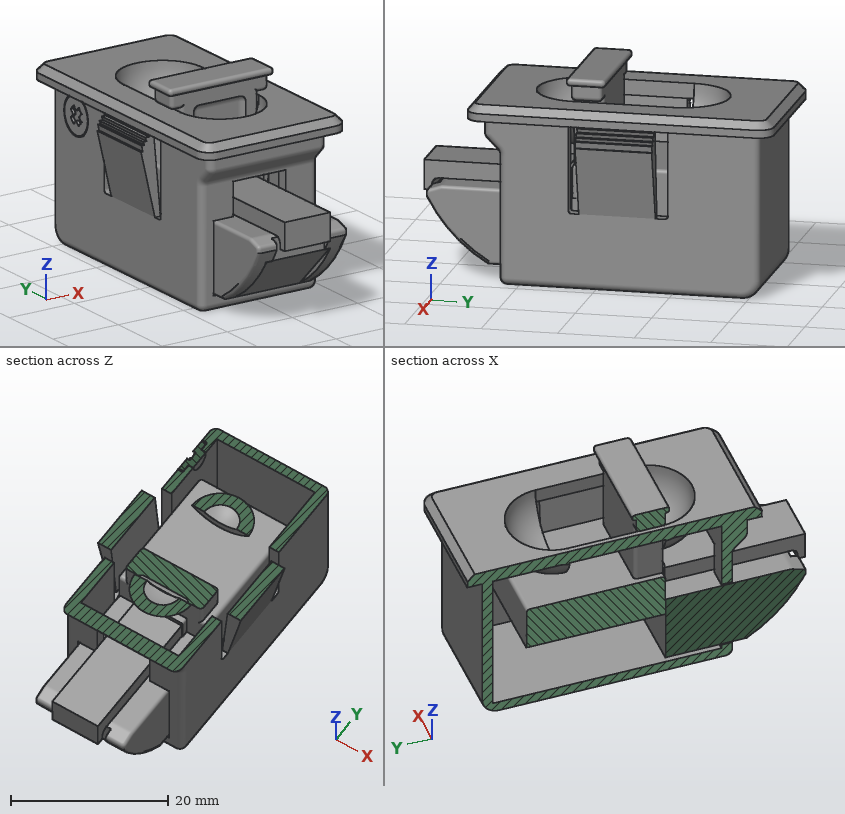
import cadquery as cq


overall_length = 47.0
tiny_overlap = 0.25

flange_width = 22.0
flange_length = 40.0
flange_thickness = 2.0
flange_chamfer = 1.0
flange_corner_radius = 2.0

body_width = 18.0
body_bottom = -24.0
body_back = 18.0
body_front_upper = -18.0
body_front = -16.0
step_top = -4.5
step_bottom = step_top - (body_front - body_front_upper)
edge_radius = 1.0
back_bottom_radius = 2.4
wall = 1.5

dish_radius = 6.0
dish_shell = 1.0
opening_back = 6.1
opening_front = -6.9

window_bottom = -14.0
window_corner_radius = 0.45
clip_length = 10.0
clip_middle = -0.5
clip_teeth = [(10.05, -2.45), (10.5, -2.95), (10.8, -3.5), (11.05, -3.95), (11.15, -4.8)]
clip_tooth_depth = 0.2
clip_root_inner = 8.15
clip_top_inner = 9.2

latch_opening_width = 14.0
latch_opening_top = -11.85
latch_opening_bottom = -21.95
slot_width = 8.05
slot_top = -7.1

screw_y = 12.55
screw_z = -5.5
screw_head_radius = 2.65
screw_head_gap = 0.15
screw_head_thickness = 0.7
screw_shank_radius = 1.4
recess_span = 2.55
recess_arm_width = 0.95
recess_depth = 0.4

latch_width = 13.72
latch_tip = -26.0
latch_top = -11.95
latch_slope_start = -24.0
latch_tip_top = -12.6
latch_tip_bottom = -13.45
latch_curve_middle = (-22.85, -18.0)
latch_curve_end = -17.9
latch_edge_radius = 0.45
latch_slope_radius = 1.3
latch_tip_radius = 0.5
notch_base = -24.8
ramp_width = 9.78
ramp_top = -15.28

grip_width = 16.05
grip_length = 5.08
grip_thickness = 1.0
grip_corner_radius = 0.5
grip_rim_radius = 0.45
grip_top = 3.5
head_width = 14.85
head_bottom = 0.45
stem_width = 11.8
stem_length = 4.0
slider_edge_radius = 0.5
head_corner_radius = 0.55
thumb_width = 8.2
thumb_top = 0.5
thumb_bottom = -5.9
thumb_depth = 0.5
thumb_corner_radius = 1.0
thumb_floor_radius = 0.95
base_width = 14.0
base_top = -8.1
base_bottom = -12.5
foot_bottom = -14.55
base_back = 12.0
bolt_width = 7.0
bolt_top = -9.55
bolt_bottom = -13.45
bolt_inner_radius = 1.0
bolt_root_width = 7.3
bolt_root_top = -9.02
bolt_root_length = 1.0
bolt_root_radius = 0.3

bolt_tip = flange_length / 2 - overall_length


def block(width, y_start, y_end, z_bottom, z_top):
    """Box centred on X = 0, from y_start to y_end and z_bottom to z_top."""
    return cq.Workplane("XY").box(width, y_end - y_start, z_top - z_bottom).translate(
        (0, (y_start + y_end) / 2, (z_bottom + z_top) / 2)
    )


def side_profile(points, width):
    """Closed (Y, Z) polyline extruded symmetrically along X."""
    return cq.Workplane("YZ").polyline(points).close().extrude(width / 2, both=True)


def make_flange():
    """Rounded plate with a chamfered top rim."""
    return (
        block(flange_width, -flange_length / 2, flange_length / 2, -flange_thickness, 0)
        .edges("|Z").fillet(flange_corner_radius)
        .faces(">Z").chamfer(flange_chamfer)
    )


def make_housing_body():
    """Solid box with a set-back front below a sloped step and all its outer edges rounded."""
    outline = [
        (body_back, -flange_thickness),
        (body_back, body_bottom),
        (body_front, body_bottom),
        (body_front, step_bottom),
        (body_front_upper, step_top),
        (body_front_upper, -flange_thickness),
    ]
    body = side_profile(outline, body_width)
    body = body.edges("|X and <Z and >Y").fillet(back_bottom_radius)
    body = body.edges("|X and <Y").edges("<Z").fillet(edge_radius)
    body = body.edges(
        cq.selectors.BoxSelector(
            (-body_width, body_front - tiny_overlap, body_bottom - tiny_overlap),
            (body_width, body_front + tiny_overlap, step_bottom + tiny_overlap),
        )
    ).edges("|X").fillet(edge_radius)
    return body.faces("<X or >X").edges("not >Z").fillet(edge_radius)


def make_cavity():
    return block(
        body_width - 2 * wall, body_front + wall, body_back - wall, body_bottom + wall, -flange_thickness
    )


def make_dishes(radius):
    """Quarter spheres below the flange top, one beyond each end of the straight opening."""
    upper = cq.Workplane("XY").sphere(radius).intersect(block(3 * radius, 0, 2 * radius, -2 * radius, 0))
    back = upper.translate((0, opening_back, 0))
    front = upper.mirror("XZ").translate((0, opening_front, 0))
    return back.union(front)


def make_windows():
    """Cutter through both side walls."""
    window = block(2 * body_width, opening_front, opening_back, window_bottom, -flange_thickness)
    return window.edges("|X").fillet(window_corner_radius)


def make_clip():
    """Springy wedge on the +X side that rises out of the window bottom, with a toothed top."""
    points = [(clip_top_inner, clip_teeth[0][1]), clip_teeth[0]]
    for (tip_x, _), (next_x, next_z) in zip(clip_teeth, clip_teeth[1:]):
        points += [(tip_x - clip_tooth_depth, next_z), (next_x, next_z)]
    points += [
        (body_width / 2, window_bottom),
        (body_width / 2, window_bottom - tiny_overlap),
        (clip_root_inner, window_bottom - tiny_overlap),
    ]
    clip = cq.Workplane("XZ").polyline(points).close().extrude(clip_length / 2, both=True)
    return clip.translate((0, clip_middle, 0))


def make_front_opening():
    """Cutter for the wide latch hole and the narrow bolt slot above it."""
    y_end = body_front + wall
    latch_hole = block(latch_opening_width, body_front_upper, y_end, latch_opening_bottom, latch_opening_top)
    slot = block(slot_width, body_front_upper, y_end, latch_opening_top, slot_top)
    return latch_hole.union(slot)


def screw_cylinder(radius, depth):
    """Cylinder on the screw axis, from the -X side face inwards."""
    return (
        cq.Workplane("YZ").center(screw_y, screw_z).circle(radius).extrude(depth)
        .translate((-body_width / 2, 0, 0))
    )


def make_housing():
    """Hollow flanged housing with its dishes, openings, two snap clips and screw seat."""
    dish_support = make_dishes(dish_radius + dish_shell)
    housing = make_flange().union(make_housing_body()).cut(make_cavity()).union(dish_support)
    housing = housing.cut(make_dishes(dish_radius))
    housing = housing.cut(
        block(2 * dish_radius, opening_front, opening_back, -flange_thickness - tiny_overlap, 0)
    )
    housing = housing.cut(make_windows()).cut(make_front_opening())
    clip = make_clip()
    housing = housing.union(clip).union(clip.mirror("YZ"))
    housing = housing.cut(screw_cylinder(screw_head_radius + screw_head_gap, screw_head_thickness))
    return housing.cut(screw_cylinder(screw_shank_radius, wall))


def make_screw():
    """Flush head with a cross recess, on a shank that ends at the inner face of the wall."""
    screw = screw_cylinder(screw_head_radius, screw_head_thickness)
    screw = screw.union(screw_cylinder(screw_shank_radius, wall))
    for angle in (45, 135):
        arm = (
            cq.Workplane("XY").box(2 * recess_depth, recess_span, recess_arm_width)
            .rotate((0, 0, 0), (1, 0, 0), angle)
            .translate((-body_width / 2, screw_y, screw_z))
        )
        screw = screw.cut(arm)
    return screw


def make_latch():
    """Sprung wedge with a curved underside, a notch in its tip and a flat ramp below the notch."""
    latch = (
        cq.Workplane("YZ")
        .moveTo(opening_front, latch_top)
        .lineTo(latch_slope_start, latch_top)
        .lineTo(latch_tip, latch_tip_top)
        .lineTo(latch_tip, latch_tip_bottom)
        .threePointArc(latch_curve_middle, (latch_curve_end, latch_opening_bottom))
        .lineTo(opening_front, latch_opening_bottom)
        .close()
        .extrude(latch_width / 2, both=True)
    )
    for edge_y, edge_z, radius in (
        (latch_slope_start, latch_top, latch_slope_radius),
        (latch_tip, latch_tip_top, latch_tip_radius),
    ):
        latch = latch.edges(cq.selectors.NearestToPointSelector((0, edge_y, edge_z))).fillet(radius)
    latch = latch.faces("<X or >X").edges("not >Y").fillet(latch_edge_radius)
    notch = block(slot_width, bolt_tip, notch_base, latch_opening_bottom, latch_top)
    ramp = side_profile(
        [
            (notch_base, ramp_top),
            (latch_curve_end, latch_opening_bottom),
            (notch_base, latch_opening_bottom),
            (bolt_tip, latch_opening_bottom),
            (bolt_tip, ramp_top),
        ],
        ramp_width,
    )
    return latch.cut(notch).cut(ramp)


def make_grip():
    """Thumb plate with a rounded rim, centred over the stem."""
    middle = opening_front + stem_length / 2
    grip = block(
        grip_width, middle - grip_length / 2, middle + grip_length / 2, grip_top - grip_thickness, grip_top
    )
    grip = grip.edges("|Z").fillet(grip_corner_radius)
    return grip.faces("<Z or >Z").edges().fillet(grip_rim_radius)


def make_stem():
    """T-shaped upright with a shallow thumb recess in its front face."""
    y_end = opening_front + stem_length
    head = block(head_width, opening_front, y_end, head_bottom, grip_top - grip_thickness / 2)
    head = head.edges("|Y and <Z").fillet(head_corner_radius)
    stem = block(stem_width, opening_front, y_end, base_bottom, grip_top - grip_thickness / 2)
    stem = head.union(stem)
    stem = stem.faces("<Y or >Y").edges("not (<Z or >Z)").fillet(slider_edge_radius)
    thumb = block(
        thumb_width, opening_front - thumb_depth, opening_front + thumb_depth, thumb_bottom, thumb_top
    )
    thumb = thumb.edges("|Y").fillet(thumb_corner_radius).faces(">Y").edges().fillet(thumb_floor_radius)
    return stem.cut(thumb)


def make_base():
    """Block inside the housing that carries the stem and the bolt."""
    base = block(base_width, opening_front, base_back, base_bottom, base_top)
    base = base.edges("|Z").fillet(slider_edge_radius).faces(">Z").edges("|Y").fillet(slider_edge_radius)
    foot = block(base_width, opening_front, base_back, foot_bottom, base_bottom)
    return base.union(foot)


def make_bolt():
    """Flat bar above the latch, hooked down in front of the latch tip."""
    y_start = opening_front + tiny_overlap
    bar = side_profile(
        [
            (y_start, bolt_top),
            (bolt_tip, bolt_top),
            (bolt_tip, bolt_bottom),
            (latch_tip, bolt_bottom),
            (latch_tip, latch_opening_top),
            (y_start, latch_opening_top),
        ],
        bolt_width,
    )
    inner_corner = cq.selectors.NearestToPointSelector((0, latch_tip, latch_opening_top))
    bar = bar.edges("|X").edges(inner_corner).fillet(bolt_inner_radius)
    root = block(
        bolt_root_width, opening_front - bolt_root_length, y_start, latch_opening_top, bolt_root_top
    )
    return bar.union(root.edges("|Y and >Z").fillet(bolt_root_radius))


def make_slider():
    """Grip, stem, base and bolt, which move together as one piece."""
    return make_grip().union(make_stem()).union(make_base()).union(make_bolt())


housing = make_housing()
screw = make_screw()
latch = make_latch()
slider = make_slider()
result = cq.Compound.makeCompound([housing.val(), screw.val(), latch.val(), slider.val()])